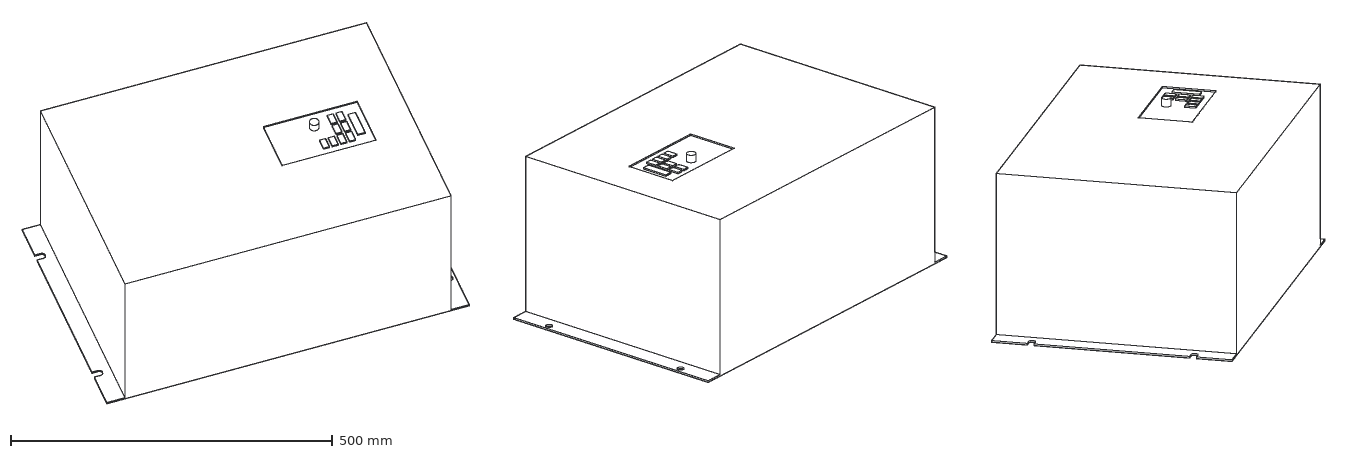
import cadquery as cq

width = 385.0
plate_length = 600
plate_thickness = 3.0
mount_spacing = 260.5
mount_diameter = 11.0
mount_edge_distance = 10.0

overall_height = 278.0
knob_projection = 10.0
housing_length = 540
housing_top = overall_height - knob_projection

panel_width = 86.5
panel_length = 155.5
panel_depth = 2.5
panel_center_y = 122.5
panel_floor = housing_top - panel_depth

display_width = 44.5
display_length = 12.5
display_height = 2.5
display_center_y = 183.5

button_width = 18
button_length = 10.0
button_height = 2.5
button_pitch_x = 22.0
button_pitch_y = 14.5
top_row_y = 165.5
columns_per_row = [(-1, 0, 1), (-1, 0, 1), (1,), (1,)]

knob_diameter = 15.0
knob_x = -17.0
knob_y = 119.5


def block(size_x, size_y, height, x, y, bottom):
    """Box centred at (x, y) that rises from the given bottom level."""
    box = cq.Workplane("XY").box(size_x, size_y, height, centered=(True, True, False))
    return box.translate((x, y, bottom))


def mounting_plate():
    """Thin plate with two round holes at the back and two open slots at the front."""
    plate = block(width, plate_length, plate_thickness, 0, 0, 0)
    mount_y = plate_length / 2 - mount_edge_distance
    for x in (-mount_spacing / 2, mount_spacing / 2):
        for y in (-mount_y, mount_y):
            hole = cq.Workplane("XY").center(x, y).circle(mount_diameter / 2).extrude(plate_thickness)
            plate = plate.cut(hole)
        slot_y = -(mount_y + mount_edge_distance / 2)
        plate = plate.cut(block(mount_diameter, mount_edge_distance, plate_thickness, x, slot_y, 0))
    return plate


def housing():
    """Plain box with a shallow panel recess and a display raised from its floor."""
    body = block(width, housing_length, housing_top, 0, 0, 0)
    recess = block(panel_width, panel_length, panel_depth, 0, panel_center_y, panel_floor)
    display = block(display_width, display_length, display_height, 0, display_center_y, panel_floor)
    return body.cut(recess).union(display)


def add_buttons(body):
    """Two full rows of three buttons, then two single buttons in the +X column."""
    for row, columns in enumerate(columns_per_row):
        y = top_row_y - row * button_pitch_y
        for column in columns:
            x = column * button_pitch_x
            body = body.union(block(button_width, button_length, button_height, x, y, panel_floor))
    return body


def knob():
    """Round knob standing on the panel floor."""
    base = cq.Workplane("XY", origin=(knob_x, knob_y, panel_floor))
    return base.circle(knob_diameter / 2).extrude(overall_height - panel_floor)


result = add_buttons(mounting_plate().union(housing())).union(knob())